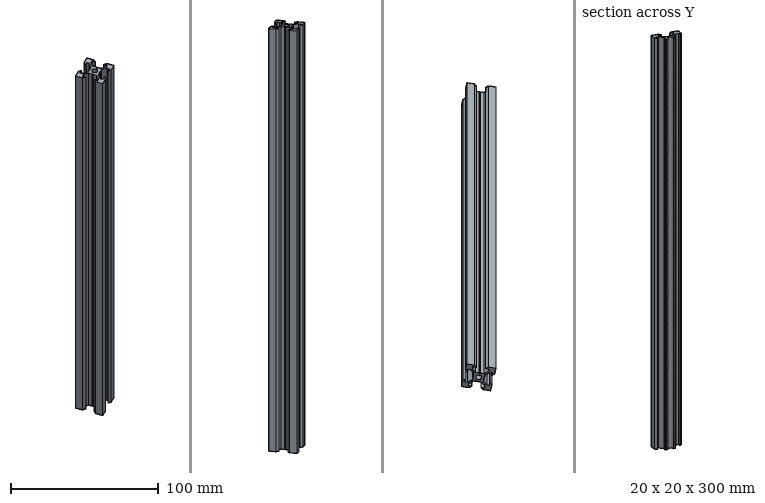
import cadquery as cq
length = 300.0
width = 20.0
half_width = width / 2

mouth_half = 4.8
lip_depth = 1.7
lip_overhang = 2.45
core_half = 4.0
web_thickness = 1.5
bore_diameter = 4.0
groove_half = 0.5
groove_depth = 0.45

lip_bottom = half_width - lip_depth
throat_half = mouth_half - lip_depth
pocket_half = throat_half + lip_overhang
web_offset = web_thickness / 2**0.5


def slot_cutter():
    """Full-length slot void on the +Y side."""
    right_side = [
        (groove_half, core_half),
        (core_half - web_offset, core_half),
        (pocket_half, pocket_half + web_offset),
        (pocket_half, lip_bottom),
        (throat_half, lip_bottom),
        (mouth_half, half_width),
    ]
    left_side = [(-x, y) for x, y in reversed(right_side)]
    groove_apex = (0, core_half - groove_depth)
    outline = [groove_apex] + right_side + left_side
    return cq.Workplane("XY").polyline(outline).close().extrude(length)


rail = cq.Workplane("XY").rect(width, width).extrude(length)

for angle in (0, 90, 180, 270):
    rail = rail.cut(slot_cutter().rotate((0, 0, 0), (0, 0, 1), angle))

bore = cq.Workplane("XY").circle(bore_diameter / 2).extrude(length)
result = rail.cut(bore)